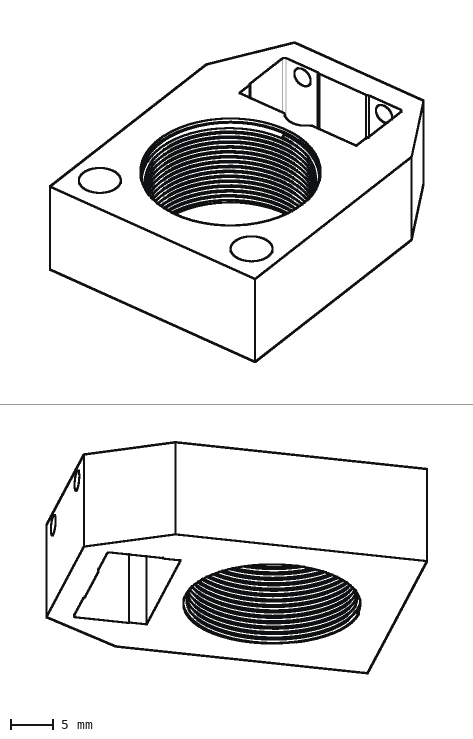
import cadquery as cq
import math

WIDTH = 30.0
LENGTH = 39.75
HEIGHT = 12.0
CORNER_CUT_X = 5.55
CORNER_ANGLE = 60.0
CORNER_CUT_Y = CORNER_CUT_X * math.tan(math.radians(CORNER_ANGLE))
HALF_WIDTH = WIDTH / 2
FRONT_Y = -HALF_WIDTH
BACK_Y = FRONT_Y + LENGTH

THREAD_MINOR_DIAMETER = 19.9
THREAD_MAJOR_DIAMETER = 20.65
RELIEF_DIAMETER = 21.0
RELIEF_DEPTH = 0.48
THREAD_PITCH = HEIGHT / 17
THREAD_TURNS = 15.5
RIDGE_BASE = 0.6
RIDGE_EMBED = 0.08
THREAD_OVERHANG = 0.1

CORNER_HOLE_DIAMETER = 4.9
CORNER_HOLE_DEPTH = 7.95
CORNER_HOLE_SPACING = 22.2
CORNER_HOLE_Y = -10.55

WINDOW_WIDTH = 17.1
WINDOW_FRONT_Y = 12.95
WINDOW_BACK_Y = 21.7
SIDE_RELIEF = 0.1
SIDE_RELIEF_Y = 15.05
CORNER_RADIUS = 0.3
PAD_WIDTH = 6.85
PAD_RAISE = 0.1
PAD_SLOPE = 0.35

NOTCH_DIAMETER = 4.9
NOTCH_REACH = 0.95
NOTCH_DEPTH = 5.95

CROSS_HOLE_DIAMETER = 2.4
CROSS_HOLE_SPACING = 11.92
CROSS_HOLE_DROP = 1.7


def make_block():
    half_back = HALF_WIDTH - CORNER_CUT_X
    shoulder_y = BACK_Y - CORNER_CUT_Y
    outline = [
        (-HALF_WIDTH, FRONT_Y),
        (HALF_WIDTH, FRONT_Y),
        (HALF_WIDTH, shoulder_y),
        (half_back, BACK_Y),
        (-half_back, BACK_Y),
        (-HALF_WIDTH, shoulder_y),
    ]
    return cq.Workplane("XY").polyline(outline).close().extrude(HEIGHT)


def cylinder_down(diameter, depth, x=0, y=0):
    """Vertical cylinder reaching down from the top face."""
    plane = cq.Workplane("XY", origin=(x, y, HEIGHT))
    return plane.circle(diameter / 2).extrude(-depth)


def box_from(width, length, front_y):
    """Full-height box, centred in X, reaching back from front_y."""
    box = cq.Workplane("XY").box(width, length, HEIGHT, centered=(True, False, False))
    return box.translate((0, front_y, 0))


def make_window():
    rear_width = WINDOW_WIDTH + 2 * SIDE_RELIEF
    half_pad = PAD_WIDTH / 2
    front = box_from(WINDOW_WIDTH, SIDE_RELIEF_Y - WINDOW_FRONT_Y, WINDOW_FRONT_Y)
    rear = box_from(rear_width, WINDOW_BACK_Y - SIDE_RELIEF_Y, SIDE_RELIEF_Y)
    rear = rear.edges("|Z and >Y").fillet(CORNER_RADIUS)
    pad_outline = [
        (-half_pad - PAD_SLOPE, WINDOW_BACK_Y),
        (-half_pad, WINDOW_BACK_Y - PAD_RAISE),
        (half_pad, WINDOW_BACK_Y - PAD_RAISE),
        (half_pad + PAD_SLOPE, WINDOW_BACK_Y),
    ]
    pad = cq.Workplane("XY").polyline(pad_outline).close().extrude(HEIGHT)
    return front.union(rear.cut(pad))


def make_cross_hole(x):
    axis_z = HEIGHT - CROSS_HOLE_DROP
    plane = cq.Workplane("XZ", origin=(x, BACK_Y, axis_z))
    depth = BACK_Y - WINDOW_BACK_Y + PAD_RAISE
    return plane.circle(CROSS_HOLE_DIAMETER / 2).extrude(depth)


def make_thread_ridge():
    """Pointed helical ridge rising inward from the bore wall."""
    tip_radius = THREAD_MINOR_DIAMETER / 2
    root_radius = THREAD_MAJOR_DIAMETER / 2 + RIDGE_EMBED
    profile = [
        (tip_radius, RIDGE_BASE / 2),
        (root_radius, 0),
        (root_radius, RIDGE_BASE),
    ]
    helix = cq.Wire.makeHelix(THREAD_PITCH, THREAD_PITCH * THREAD_TURNS, root_radius)
    ridge = cq.Workplane("XZ").polyline(profile).close().sweep(cq.Workplane(obj=helix), isFrenet=True)
    return ridge.rotate((0, 0, 0), (0, 0, 1), -90).translate((0, 0, -THREAD_OVERHANG))


result = make_block()
result = result.cut(cylinder_down(THREAD_MAJOR_DIAMETER, HEIGHT))
result = result.cut(cylinder_down(RELIEF_DIAMETER, RELIEF_DEPTH))
result = result.cut(make_window())

notch_y = WINDOW_FRONT_Y - NOTCH_REACH + NOTCH_DIAMETER / 2
result = result.cut(cylinder_down(NOTCH_DIAMETER, NOTCH_DEPTH, y=notch_y))

for side in (-1, 1):
    hole_x = side * CORNER_HOLE_SPACING / 2
    result = result.cut(cylinder_down(CORNER_HOLE_DIAMETER, CORNER_HOLE_DEPTH, hole_x, CORNER_HOLE_Y))
    result = result.cut(make_cross_hole(side * CROSS_HOLE_SPACING / 2))

result = result.union(make_thread_ridge())